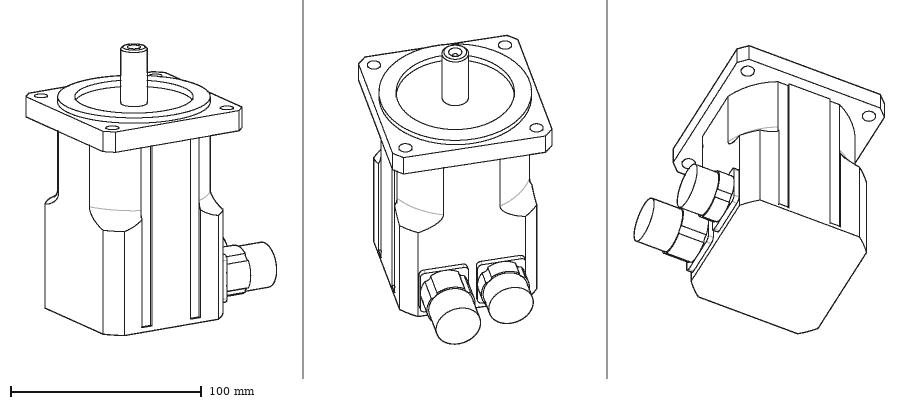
import cadquery as cq
import math

TOTAL_HEIGHT = 144.0
TOTAL_DEPTH = 114.0

FLANGE_SIDE = 86.0
FLANGE_BOTTOM = 103.0
FLANGE_TOP = 114.0
FLANGE_CHAMFER = 4.8
BOLT_CIRCLE_DIAMETER = 100.0
BOLT_HOLE_DIAMETER = 6.9

PILOT_DIAMETER = 80.0
PILOT_TOP = 117.0
RECESS_DIAMETER = 62.0
RECESS_DEPTH = 3.5

BODY_SIDE = 74.0
BODY_CORNER_DIAMETER = 94.0
NECK_DIAMETER = PILOT_DIAMETER
COVE_TOP = 66.2
COVE_RADIUS = 10.0

GROOVE_WIDTH = 6.0
GROOVE_DEPTH = 1.3
GROOVE_OFFSET = 15.0
GROOVE_BOTTOM = 2.7

SHAFT_DIAMETER = 14.0
SHAFT_CHAMFER = 1.0
CENTRE_CONE_DIAMETER = 6.9
CENTRE_HOLE_DIAMETER = 2.7
CENTRE_CONE_ANGLE = 90.0
CENTRE_HOLE_DEPTH = 5.8

CONNECTOR_OFFSET = 15.4
CONNECTOR_HEIGHT = 18.0
COLLAR_DIAMETER = 25.9
PAD_SIDE = COLLAR_DIAMETER
PAD_THICKNESS = 2.9
PAD_CORNER_RADIUS = 2.5
BARREL_DIAMETER = 24.0
SCREW_RELIEF_RADIUS = 3.0
LONG_BARREL_END = TOTAL_DEPTH - FLANGE_SIDE / 2
LONG_COLLAR_END = 54.5
SHORT_COLLAR_END = 48.4
SHORT_BARREL_END = 60.9

body_half = BODY_SIDE / 2


def cylinder(diameter, bottom, top):
    return cq.Workplane("XY").workplane(offset=bottom).circle(diameter / 2).extrude(top - bottom)


def make_body():
    """Square body with rounded corners, turned down to a neck with a cove below it."""
    body = cq.Workplane("XY").rect(BODY_SIDE, BODY_SIDE).extrude(FLANGE_BOTTOM)
    body = body.intersect(cylinder(BODY_CORNER_DIAMETER, 0, FLANGE_BOTTOM))
    return body.cut(make_neck_relief()).cut(make_grooves())


def make_neck_relief():
    """Ring cut around the neck; its lower end is a concave quarter round."""
    neck_radius = NECK_DIAMETER / 2
    outer_radius = neck_radius + COVE_RADIUS
    return (
        cq.Workplane("XZ")
        .moveTo(neck_radius, FLANGE_BOTTOM)
        .lineTo(neck_radius, COVE_TOP)
        .radiusArc((outer_radius, COVE_TOP - COVE_RADIUS), -COVE_RADIUS)
        .lineTo(outer_radius, FLANGE_BOTTOM)
        .close()
        .revolve(360, (0, 0, 0), (0, 1, 0))
    )


def make_grooves():
    """Two shallow vertical grooves in each of the -X and +X faces, open under the flange."""
    centres = [(x, y) for x in (-body_half, body_half) for y in (-GROOVE_OFFSET, GROOVE_OFFSET)]
    return (
        cq.Workplane("XY")
        .workplane(offset=GROOVE_BOTTOM)
        .pushPoints(centres)
        .rect(2 * GROOVE_DEPTH, GROOVE_WIDTH)
        .extrude(FLANGE_BOTTOM - GROOVE_BOTTOM)
    )


def make_flange():
    """Mounting flange with four bolt holes and a recessed pilot boss."""
    bolt_spacing = BOLT_CIRCLE_DIAMETER / math.sqrt(2)
    flange = (
        cq.Workplane("XY")
        .workplane(offset=FLANGE_BOTTOM)
        .rect(FLANGE_SIDE, FLANGE_SIDE)
        .extrude(FLANGE_TOP - FLANGE_BOTTOM)
        .edges("|Z")
        .chamfer(FLANGE_CHAMFER)
        .faces(">Z")
        .workplane()
        .rect(bolt_spacing, bolt_spacing, forConstruction=True)
        .vertices()
        .hole(BOLT_HOLE_DIAMETER)
    )
    pilot = cylinder(PILOT_DIAMETER, FLANGE_TOP, PILOT_TOP)
    recess = cylinder(RECESS_DIAMETER, PILOT_TOP - RECESS_DEPTH, PILOT_TOP)
    return flange.union(pilot).cut(recess)


def make_shaft():
    """Chamfered shaft with a centre-drilled end, rooted in the middle of the flange."""
    shaft = cylinder(SHAFT_DIAMETER, FLANGE_BOTTOM, TOTAL_HEIGHT)
    shaft = shaft.faces(">Z").chamfer(SHAFT_CHAMFER)
    return shaft.faces(">Z").workplane().cskHole(
        CENTRE_HOLE_DIAMETER, CENTRE_CONE_DIAMETER, CENTRE_CONE_ANGLE, CENTRE_HOLE_DEPTH
    )


def make_motor():
    return make_body().union(make_flange()).union(make_shaft())


def make_connector(x, collar_end, barrel_end):
    """Connector seated on the back face at x; both ends are distances from the motor axis."""
    pad_end = body_half + PAD_THICKNESS
    relief_spacing = PAD_SIDE - 2 * PAD_CORNER_RADIUS
    base = cq.Workplane(cq.Plane((x, 0, CONNECTOR_HEIGHT), xDir=(-1, 0, 0), normal=(0, 1, 0)))

    pad = (
        base.workplane(offset=body_half)
        .rect(PAD_SIDE, PAD_SIDE)
        .extrude(PAD_THICKNESS)
        .edges("|Y")
        .fillet(PAD_CORNER_RADIUS)
    )
    collar_start = base.workplane(offset=pad_end)
    collar = collar_start.circle(COLLAR_DIAMETER / 2).extrude(collar_end - pad_end)
    screw_reliefs = (
        collar_start.rect(relief_spacing, relief_spacing, forConstruction=True)
        .vertices()
        .circle(SCREW_RELIEF_RADIUS)
        .extrude(collar_end - pad_end)
    )
    barrel = (
        base.workplane(offset=collar_end)
        .circle(BARREL_DIAMETER / 2)
        .extrude(barrel_end - collar_end)
    )
    return pad.union(collar.cut(screw_reliefs)).union(barrel)


motor = make_motor()

connectors = []
for x, collar_end, barrel_end in [
    (-CONNECTOR_OFFSET, SHORT_COLLAR_END, SHORT_BARREL_END),
    (CONNECTOR_OFFSET, LONG_COLLAR_END, LONG_BARREL_END),
]:
    connectors.append(make_connector(x, collar_end, barrel_end))

result = cq.Compound.makeCompound([motor.val(), *[connector.val() for connector in connectors]])